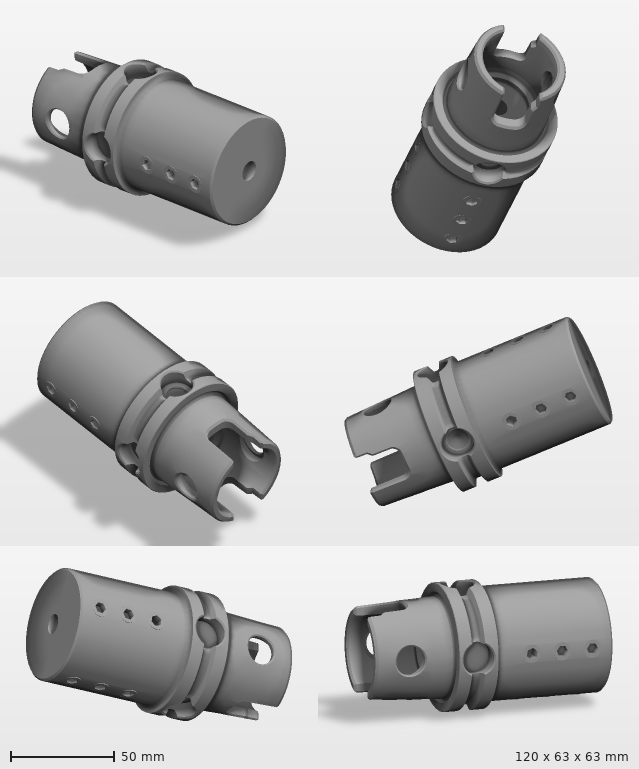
import cadquery as cq
import math


shank_length = 40.0
shank_root_radius = 24.95
shank_tip_radius = 23.25
tip_chamfer_length = 1.4
tip_face_radius = 22.3
relief_length = 1.1
relief_radius = 24.6
relief_depth = 1.6
relief_fillet = 1.3
relief_rim_radius = 27.1

bore_radius = 18.7
bore_mouth_radius = 19.9
bore_mouth_chamfer = 1.0
bore_lead_radius = 18.9
bore_lead_length = 3.8
bore_depth = 30.9
bore_cone_radius = 18.2
bore_cone_length = 2.2
bore_floor_fillet = 0.9
pocket_radius = 15.2
pocket_depth = 3.3
pocket_floor_fillet = 1.1
coolant_radius = 5.0

slot_half_width = 8.05
slot_depth = 21.8
slot_corner_radius = 4.0
slot_mouth_chamfer = 1.1
slot_step_width = 1.75
slot_step_depth = 6.4
slot_step_run = 2.4
slot_edge_chamfer = 1.1
slot_rim_start = 0.75

ball_hole_x = -22.2
ball_hole_radius = 7.25
ball_hole_chamfer = 0.75
ball_seat_x = -23.1
ball_seat_radius = 8.7
ball_seat_reach = 20.5

flange_radius = 31.5
flange_width = 20.0
flange_edge_chamfer = 0.3
flange_fillet = 2.0
groove_x = flange_width / 2
groove_half_width = 3.4
groove_wall_angle = 25.0
groove_depth = 3.8
groove_fillet = 1.1

recess_radius = 7.9
recess_chamfer = 0.75
recess_floor = 23.0
drill_radius = 5.0
drill_chamfer = 0.5
drill_depth = 1.0
drill_point_angle = 118.0

body_radius = 28.0
body_length = 79.95
body_end_chamfer = 1.0

screw_radius = 4.5
screw_length = 12.0
screw_first_x = 38.4
screw_pitch = 15.5
screw_row_angles = (90, 180, 270)
screw_head_radius = body_radius
hex_across_flats = 5.0
hex_depths = (8.0, 4.0, 4.0)
hex_turns = (20.0, -5.0, -5.0)


def holder_blank():
    """Outer turned shape of shank, flange and body."""
    profile = (
        cq.Workplane("XY")
        .moveTo(-shank_length, 0)
        .lineTo(-shank_length, tip_face_radius)
        .lineTo(-shank_length + tip_chamfer_length, shank_tip_radius)
        .lineTo(-relief_length, shank_root_radius)
        .lineTo(-relief_length / 2, relief_radius)
        .lineTo(relief_depth - relief_fillet, relief_radius)
        .radiusArc((relief_depth, relief_radius + relief_fillet), -relief_fillet)
        .lineTo(0, relief_rim_radius)
        .lineTo(0, flange_radius - flange_edge_chamfer)
        .lineTo(flange_edge_chamfer, flange_radius)
        .lineTo(flange_width, flange_radius)
        .lineTo(flange_width, body_radius + flange_fillet)
        .radiusArc((flange_width + flange_fillet, body_radius), -flange_fillet)
        .lineTo(body_length - body_end_chamfer, body_radius)
        .lineTo(body_length, body_radius - body_end_chamfer)
        .lineTo(body_length, 0)
        .close()
    )
    return profile.revolve(360, (0, 0, 0), (1, 0, 0))


def bore_cutter():
    """Shank bore, the pocket below its floor and the coolant hole."""
    cone_x = bore_depth - shank_length
    cone_end_x = cone_x + bore_cone_length
    bore_floor_x = cone_end_x + bore_floor_fillet
    pocket_floor_x = bore_floor_x + pocket_depth
    profile = (
        cq.Workplane("XY")
        .moveTo(-shank_length, 0)
        .lineTo(-shank_length, bore_mouth_radius)
        .lineTo(-shank_length + bore_mouth_chamfer, bore_lead_radius)
        .lineTo(-shank_length + bore_lead_length, bore_radius)
        .lineTo(cone_x, bore_radius)
        .lineTo(cone_end_x, bore_cone_radius)
        .radiusArc((bore_floor_x, bore_cone_radius - bore_floor_fillet), bore_floor_fillet)
        .lineTo(bore_floor_x, pocket_radius)
        .lineTo(pocket_floor_x - pocket_floor_fillet, pocket_radius)
        .radiusArc((pocket_floor_x, pocket_radius - pocket_floor_fillet), pocket_floor_fillet)
        .lineTo(pocket_floor_x, coolant_radius)
        .lineTo(body_length, coolant_radius)
        .lineTo(body_length, 0)
        .close()
    )
    return profile.revolve(360, (0, 0, 0), (1, 0, 0))


def slot_cutter():
    """Drive slot through both sides of the shank, wider near its mouth on the -Y side."""
    tip_x = -shank_length
    end_x = tip_x + slot_depth
    step_x = tip_x + slot_step_depth
    wide_half = slot_half_width + slot_step_width
    outline = (
        cq.Workplane("XY")
        .moveTo(tip_x, slot_half_width + slot_mouth_chamfer)
        .lineTo(tip_x + slot_mouth_chamfer, slot_half_width)
        .lineTo(end_x - slot_corner_radius, slot_half_width)
        .radiusArc((end_x, slot_half_width - slot_corner_radius), slot_corner_radius)
        .lineTo(end_x, slot_corner_radius - slot_half_width)
        .radiusArc((end_x - slot_corner_radius, -slot_half_width), slot_corner_radius)
        .lineTo(step_x + slot_step_run, -slot_half_width)
        .lineTo(step_x, -wide_half)
        .lineTo(tip_x + slot_mouth_chamfer, -wide_half)
        .lineTo(tip_x, -wide_half - slot_mouth_chamfer)
        .close()
    )
    return outline.extrude(2 * flange_radius).translate((0, 0, -flange_radius))


def groove_cutter():
    """Gripper groove around the flange, with rounded corners at its floor."""
    wall_run = groove_depth * math.tan(math.radians(groove_wall_angle))
    floor_half = groove_half_width - wall_run
    floor_radius = flange_radius - groove_depth
    profile = (
        cq.Workplane("XY")
        .moveTo(groove_x - groove_half_width, flange_radius)
        .lineTo(groove_x - floor_half, floor_radius)
        .lineTo(groove_x + floor_half, floor_radius)
        .lineTo(groove_x + groove_half_width, flange_radius)
        .close()
    )
    ring = profile.revolve(360, (0, 0, 0), (1, 0, 0))
    floor_edges = cq.selectors.BoxSelector(
        (groove_x - groove_half_width + wall_run / 2, -floor_radius - 1, -floor_radius - 1),
        (groove_x + groove_half_width - wall_run / 2, floor_radius + 1, floor_radius + 1),
    )
    return ring.edges(floor_edges).fillet(groove_fillet)


def around_axis(shape, angle):
    """Turn a shape about the tool axis."""
    return shape.rotate((0, 0, 0), (1, 0, 0), angle)


def recess_cutter():
    """Flat-bottomed round recess on the +Z side of the flange."""
    return (
        cq.Workplane("XY", origin=(groove_x, 0, recess_floor))
        .circle(recess_radius)
        .extrude(flange_radius)
    )


def drill_cutter():
    """Chamfered blind hole with a drill point, in the floor of a recess on +Z."""
    point_depth = drill_radius / math.tan(math.radians(drill_point_angle / 2))
    profile = (
        cq.Workplane("XZ", origin=(groove_x, 0, recess_floor))
        .moveTo(0, 0)
        .lineTo(drill_radius + drill_chamfer, 0)
        .lineTo(drill_radius, -drill_chamfer)
        .lineTo(drill_radius, -drill_depth)
        .lineTo(0, -drill_depth - point_depth)
        .close()
    )
    return profile.revolve(360, (0, 0, 0), (0, 1, 0))


def ball_hole_cutter():
    """Cross hole along Y through both walls of the shank."""
    return (
        cq.Workplane("XZ", origin=(ball_hole_x, 0, 0))
        .circle(ball_hole_radius)
        .extrude(shank_root_radius, both=True)
    )


def ball_seat_cutter():
    """Wider, offset pockets where the ball holes open into the bore."""
    return (
        cq.Workplane("XZ", origin=(ball_seat_x, 0, 0))
        .circle(ball_seat_radius)
        .extrude(ball_seat_reach, both=True)
    )


def screw_cylinder(top):
    """Round shank of a clamping screw on +Z, at the first screw position, up to a given height."""
    bottom = screw_head_radius - screw_length
    return (
        cq.Workplane("XY", origin=(screw_first_x, 0, bottom))
        .circle(screw_radius)
        .extrude(top - bottom)
    )


def screw(socket_depth, socket_turn):
    """Headless clamping screw with a hexagon socket turned about the screw axis."""
    socket = (
        cq.Workplane("XY", origin=(screw_first_x, 0, screw_head_radius - socket_depth))
        .transformed(rotate=(0, 0, socket_turn))
        .polygon(6, hex_across_flats / math.cos(math.pi / 6))
        .extrude(socket_depth)
    )
    return screw_cylinder(screw_head_radius).cut(socket)


def edges_in_box(x_range, y_range, z_range):
    """Selector for the edges whose centre lies in a box."""
    low, high = zip(x_range, y_range, z_range)
    return cq.selectors.BoxSelector(low, high)


def cut_drive_slots(body):
    """Cut the drive slots and chamfer their outer rims, except along the mouth bevels."""
    x_range = (-shank_length + slot_rim_start, -shank_length + slot_depth + 1)
    y_range = (-slot_half_width - 2 * slot_step_width, slot_half_width + 1)
    upper_rim = edges_in_box(x_range, y_range, (slot_half_width, flange_radius))
    lower_rim = edges_in_box(x_range, y_range, (-flange_radius, -slot_half_width))
    return body.cut(slot_cutter()).edges(upper_rim + lower_rim).chamfer(slot_edge_chamfer)


def cut_ball_holes(body):
    """Cut the ball holes and chamfer their outer rims."""
    x_range = (ball_hole_x - ball_hole_radius, ball_hole_x + ball_hole_radius)
    z_range = (-ball_hole_radius, ball_hole_radius)
    front_rim = edges_in_box(x_range, (-shank_root_radius, -bore_radius), z_range)
    back_rim = edges_in_box(x_range, (bore_radius, shank_root_radius), z_range)
    return body.cut(ball_hole_cutter()).edges(front_rim + back_rim).chamfer(ball_hole_chamfer)


def cut_recesses(body):
    """Cut four chamfered recesses around the flange, two of them with a drilled hole."""
    x_range = (groove_x - recess_radius, groove_x + recess_radius)
    y_range = (-recess_radius, recess_radius)
    top_rim = edges_in_box(x_range, y_range, (body_radius, flange_radius))
    for _ in range(4):
        body = around_axis(body, 90).cut(recess_cutter())
        body = body.edges(top_rim).chamfer(recess_chamfer)
    for angle in (0, 180):
        body = body.cut(around_axis(drill_cutter(), angle))
    return body


holder = cut_recesses(cut_ball_holes(cut_drive_slots(holder_blank())))
holder = holder.cut(groove_cutter()).cut(bore_cutter()).cut(ball_seat_cutter())

screws = []
for angle in screw_row_angles:
    for number, (depth, turn) in enumerate(zip(hex_depths, hex_turns)):
        step = (number * screw_pitch, 0, 0)
        seat = screw_cylinder(flange_radius)
        holder = holder.cut(around_axis(seat, angle).translate(step))
        screws.append(around_axis(screw(depth, turn), angle).translate(step))

result = cq.Compound.makeCompound([holder.val(), *[s.val() for s in screws]])